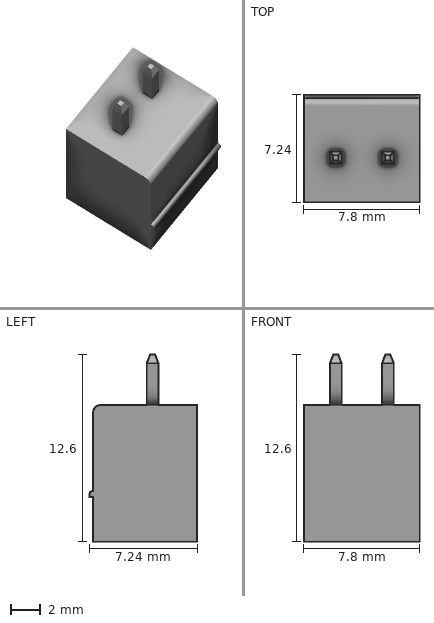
import cadquery as cq

overall_height = 12.6
body_width = 7.8
body_depth = 7.0
body_height = 9.2
back_fillet_radius = 0.5

rib_projection = 0.24
rib_height = 0.42
rib_fillet_radius = 0.21
rib_underside_z = 3.0
rib_overlap = 0.13

pin_pitch = 3.5
pin_size = 0.81
pin_tip_size = 0.33
pin_tip_height = 0.6
pin_from_front = 3.0

pin_shaft_height = overall_height - body_height - pin_tip_height


def make_body():
    block = cq.Workplane("XY").box(body_width, body_depth, body_height, centered=(True, False, False))
    return block.edges(">Y and >Z").fillet(back_fillet_radius)


def make_latch_rib():
    """Full-width bar on the back face with its upper outer edge rounded."""
    return (
        cq.Workplane("XY", origin=(0, body_depth - rib_overlap, rib_underside_z))
        .box(body_width, rib_overlap + rib_projection, rib_height, centered=(True, False, False))
        .edges(">Y and >Z")
        .fillet(rib_fillet_radius)
    )


def make_pin(x):
    shaft = (
        cq.Workplane("XY", origin=(x, pin_from_front, body_height))
        .rect(pin_size, pin_size)
        .extrude(pin_shaft_height)
    )
    tip = (
        shaft.faces(">Z")
        .workplane(centerOption="CenterOfMass")
        .rect(pin_size, pin_size)
        .workplane(offset=pin_tip_height)
        .rect(pin_tip_size, pin_tip_size)
        .loft(ruled=True, combine=False)
    )
    return shaft.union(tip)


result = make_body().union(make_latch_rib())
for pin_x in (-pin_pitch / 2, pin_pitch / 2):
    result = result.union(make_pin(pin_x))